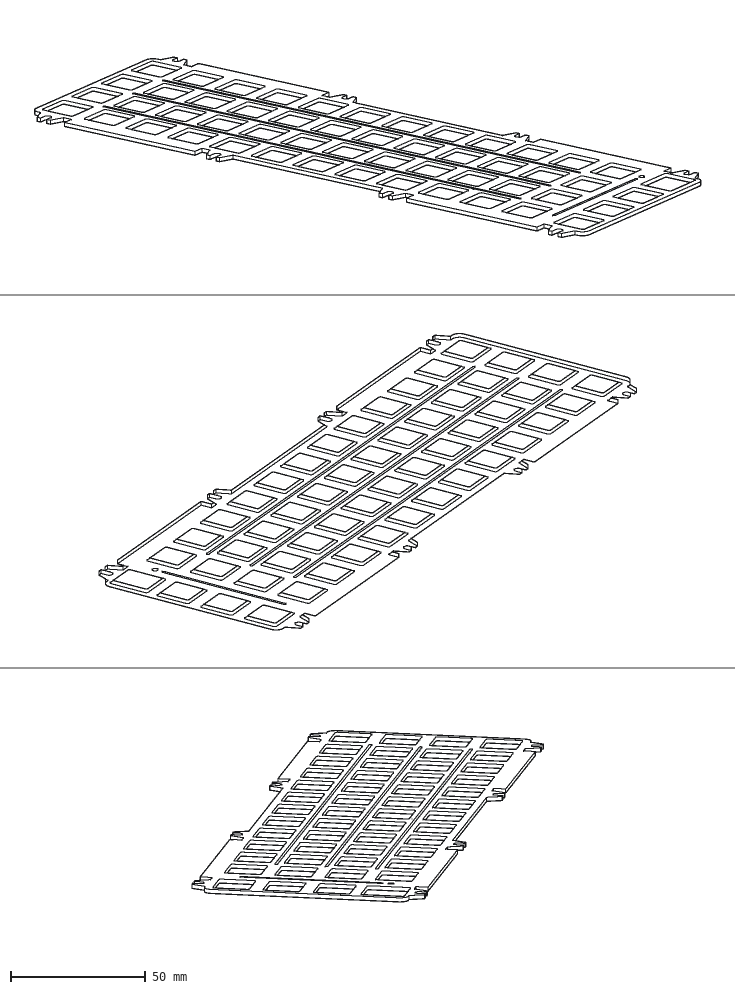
import cadquery as cq

length = 252.5
overall_width = 88.0
thickness = 1.6
body_width = 77.2
corner_radius = 3.3

main_columns = 12
rows = 4
main_span = 209.5
pitch = main_span / (main_columns - 1)
last_column_gap = 23.7
key_size = 14.0
key_radius = 0.8
tall_key_extra_above = 1.5
tall_key_extra_below = 1.0

first_column_x = -(main_span + last_column_gap) / 2
main_columns_x = [first_column_x + i * pitch for i in range(main_columns)]
last_column_x = -first_column_x
rows_y = [(i - (rows - 1) / 2) * pitch for i in range(rows)]
top_row_y = rows_y[-1]

slot_width = 1.0
row_slot_length = (main_columns - 2) * pitch
row_slot_x = first_column_x + main_span / 2
column_slot_x = (main_columns_x[-1] + last_column_x) / 2
column_slot_top = 25.5
column_slot_bottom = rows_y[0]
hole_diameter = 2.2

tab_length = 59.5
tab_x = 78.0
tab_reach = 43.2
clip_offset = 38.5
clip_reach = overall_width / 2
clip_base = 10.5
clip_tip = 6.0
fork_gap = 2.8
fork_depth = 4.0


def block(size_x, size_y, x, y):
    """Box through the plate thickness, centred at (x, y)."""
    return cq.Workplane("XY").box(size_x, size_y, thickness).translate((x, y, 0))


def slot(slot_length, x, y, angle=0):
    """Round-ended through slot centred at (x, y)."""
    cutter = cq.Workplane("XY").slot2D(slot_length, slot_width, angle)
    return cutter.extrude(thickness / 2, both=True).translate((x, y, 0))


def key_opening(x, y, height=key_size):
    return block(key_size, height, x, y).edges("|Z").fillet(key_radius)


def clip(x):
    """Tapered clip on the +Y edge with a round-bottomed notch in its tip."""
    base_y = body_width / 2
    notch_y = clip_reach - fork_depth + fork_gap / 2
    return (
        cq.Workplane("XY", origin=(x, 0, -thickness / 2))
        .moveTo(-clip_base / 2, base_y)
        .lineTo(-clip_tip / 2, clip_reach)
        .lineTo(-fork_gap / 2, clip_reach)
        .lineTo(-fork_gap / 2, notch_y)
        .threePointArc((0, clip_reach - fork_depth), (fork_gap / 2, notch_y))
        .lineTo(fork_gap / 2, clip_reach)
        .lineTo(clip_tip / 2, clip_reach)
        .lineTo(clip_base / 2, base_y)
        .close()
        .extrude(thickness)
    )


plate = block(length, body_width, 0, 0).edges("|Z").fillet(corner_radius)
for side in (-1, 1):
    plate = plate.union(block(tab_length, 2 * tab_reach, side * tab_x, 0))
    for offset in (-clip_offset, clip_offset):
        edge_clip = clip(side * tab_x + offset)
        plate = plate.union(edge_clip).union(edge_clip.mirror("XZ"))

cutters = [key_opening(x, y) for x in main_columns_x for y in rows_y]
cutters += [key_opening(last_column_x, y) for y in rows_y[:-1]]
tall_key_height = key_size + tall_key_extra_above + tall_key_extra_below
tall_key_y = top_row_y + (tall_key_extra_above - tall_key_extra_below) / 2
cutters.append(key_opening(last_column_x, tall_key_y, tall_key_height))

cutters += [slot(row_slot_length, row_slot_x, y + pitch / 2) for y in rows_y[:-1]]
column_slot_length = column_slot_top - column_slot_bottom
column_slot_y = (column_slot_top + column_slot_bottom) / 2
cutters.append(slot(column_slot_length, column_slot_x, column_slot_y, 90))

hole = cq.Workplane("XY").circle(hole_diameter / 2).extrude(thickness / 2, both=True)
cutters.append(hole.translate((column_slot_x, top_row_y, 0)))

for cutter in cutters:
    plate = plate.cut(cutter)

result = plate